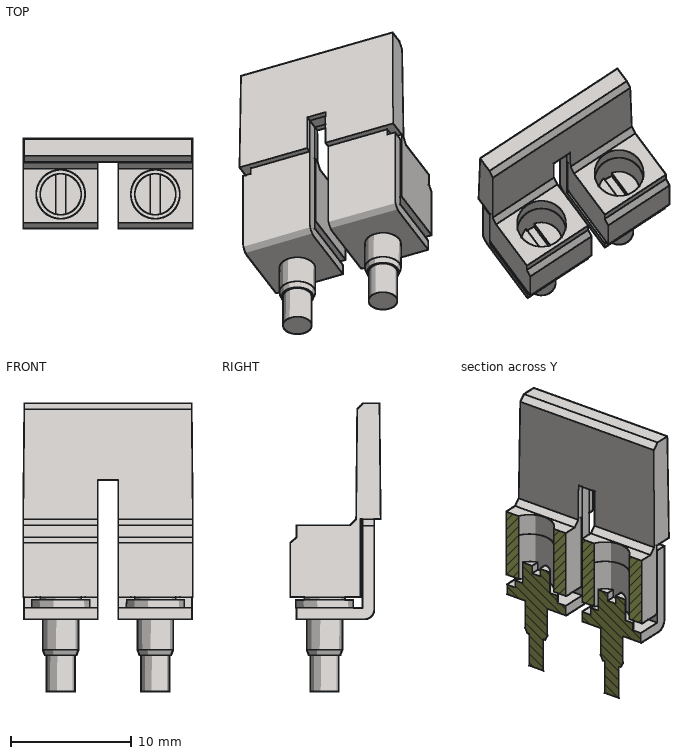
import cadquery as cq

overall_width = 14.14
overall_depth = 7.54
overall_height = 24.0

slot_width = 1.68
slot_top = 17.6

grip_base = 14.35
grip_base_thickness = 2.06
grip_draft = 0.1
grip_chamfer = 0.5

block_rear = 1.68
block_top = 13.85
block_bottom = 7.85
front_lip_depth = 0.5
front_lip_bottom = 12.82
front_lip_chamfer_bottom = 12.38
access_hole_diameter = 4.08
lower_hole_diameter = 4.05
access_hole_step = 12.02

metal_thickness = 1.0
metal_rear = 0.53
metal_width = 14.0
foot_bottom = 6.0
foot_top = 6.95
bend_radius = 0.85
shoulder_top = 13.8
neck_inset = 0.72
bridge_top = 20.4

screw_pitch = 7.87
screw_depth = 4.68
tip_diameter = 2.4
neck_diameter = 2.65
shank_diameter = 3.0
collar_diameter = 4.8
head_diameter = 3.4
cone_bottom = 3.0
cone_top = 3.48
collar_top = 7.63
head_top = 9.6
driver_slot_width = 0.82
driver_slot_depth = 0.72

block_front_top = overall_depth - front_lip_depth
screw_positions = [-screw_pitch / 2, screw_pitch / 2]


def box(width, front, rear, bottom, top):
    """Box centred on X, spanning the given distances from the rear face."""
    return (
        cq.Workplane("XY", origin=(0, -(front + rear) / 2, bottom))
        .rect(width, front - rear)
        .extrude(top - bottom)
    )


def extrude_side_profile(points, width):
    """Extrude a (Y, Z) outline symmetrically along X."""
    return cq.Workplane("YZ").polyline(points).close().extrude(width / 2, both=True)


def cylinder(x, diameter, bottom, top):
    """Upright cylinder on a screw axis."""
    return (
        cq.Workplane("XY", origin=(x, -screw_depth, bottom))
        .circle(diameter / 2)
        .extrude(top - bottom)
    )


def make_slot():
    """Through slot between the poles, open at the bottom."""
    return box(slot_width, overall_depth, 0, 0, slot_top)


def make_grip():
    grip = (
        cq.Workplane("XY", origin=(0, -grip_base_thickness / 2, grip_base))
        .rect(overall_width, grip_base_thickness)
        .workplane(offset=overall_height - grip_base)
        .rect(overall_width - 2 * grip_draft, grip_base_thickness - 2 * grip_draft)
        .loft(ruled=True)
    )
    return grip.faces(">Z").edges("<Y").chamfer(grip_chamfer)


def make_blocks():
    ramp_run = grip_base - block_top
    profile = [
        (-block_rear, block_bottom),
        (-overall_depth, block_bottom),
        (-overall_depth, front_lip_chamfer_bottom),
        (-block_front_top, front_lip_bottom),
        (-block_front_top, block_top),
        (-grip_base_thickness - ramp_run, block_top),
        (-grip_base_thickness, grip_base),
        (-block_rear, grip_base),
    ]
    return extrude_side_profile(profile, overall_width)


def make_metal_plate():
    """Flat part of the jumper that is embedded in the grip, with its neck."""
    front = metal_rear + metal_thickness
    return box(metal_width - 2 * neck_inset, front, metal_rear, shoulder_top, bridge_top)


def make_housing():
    housing = make_grip().union(make_blocks())
    for x in screw_positions:
        housing = housing.cut(cylinder(x, access_hole_diameter, access_hole_step, block_top))
        housing = housing.cut(cylinder(x, lower_hole_diameter, block_bottom, access_hole_step))
    return housing.cut(make_slot()).cut(make_metal_plate())


def make_screw(x):
    half_profile = [
        (0, 0),
        (tip_diameter / 2, 0),
        (tip_diameter / 2, cone_bottom),
        (neck_diameter / 2, cone_bottom),
        (shank_diameter / 2, cone_top),
        (shank_diameter / 2, foot_top),
        (collar_diameter / 2, foot_top),
        (collar_diameter / 2, collar_top),
        (head_diameter / 2, collar_top),
        (head_diameter / 2, head_top),
        (0, head_top),
    ]
    screw = (
        cq.Workplane("XZ", origin=(x, -screw_depth, 0))
        .polyline(half_profile)
        .close()
        .revolve(360, (0, 0), (0, 1))
    )
    driver_slot = (
        cq.Workplane("XY", origin=(x, -screw_depth, head_top - driver_slot_depth))
        .rect(driver_slot_width, head_diameter)
        .extrude(driver_slot_depth)
    )
    return screw.cut(driver_slot)


def make_jumper():
    """One metal body: embedded bridge, two angled legs and their fixed screws."""
    leg_front = metal_rear + metal_thickness
    profile = [
        (-metal_rear, shoulder_top),
        (-metal_rear, foot_bottom),
        (-block_front_top, foot_bottom),
        (-block_front_top, foot_top),
        (-leg_front, foot_top),
        (-leg_front, shoulder_top),
    ]
    legs = extrude_side_profile(profile, metal_width)
    legs = legs.edges("|X and >Y and <Z").fillet(bend_radius)
    jumper = legs.union(make_metal_plate()).cut(make_slot())
    for x in screw_positions:
        jumper = jumper.union(make_screw(x))
    return jumper


housing = make_housing()
jumper = make_jumper()

result = cq.Compound.makeCompound([*housing.solids().vals(), *jumper.solids().vals()])